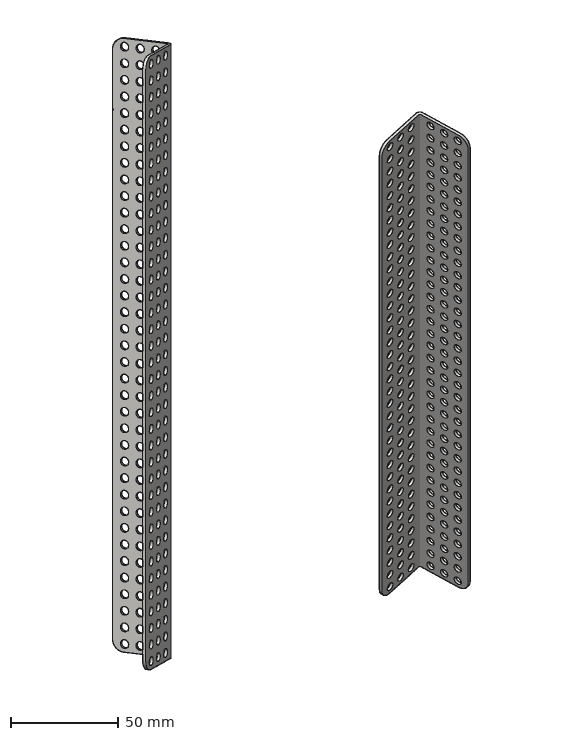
import cadquery as cq

length = 296.0
leg_width = 30.2
thickness = 1.6
inner_bend_radius = 0.5
outer_bend_radius = inner_bend_radius + thickness
corner_radius = 6.0

rows = 37
columns = 3
pitch = length / rows
hole_diameter = 4.0
edge_to_first_column = 6.2

half_width = leg_width / 2


def angle_blank():
    """Bent L-shaped sheet: one leg along X at the back, one along Y at the right."""
    inner_face = half_width - thickness
    blank = (
        cq.Workplane("XY", origin=(0, 0, -length / 2))
        .moveTo(-half_width, half_width)
        .lineTo(half_width, half_width)
        .lineTo(half_width, -half_width)
        .lineTo(inner_face, -half_width)
        .lineTo(inner_face, inner_face)
        .lineTo(-half_width, inner_face)
        .close()
        .extrude(length)
    )
    outer_corner = cq.NearestToPointSelector((half_width, half_width, 0))
    inner_corner = cq.NearestToPointSelector((inner_face, inner_face, 0))
    blank = blank.edges("|Z").edges(outer_corner).fillet(outer_bend_radius)
    return blank.edges("|Z").edges(inner_corner).fillet(inner_bend_radius)


def round_free_corners(body):
    """Round the top and bottom corners at the free edge of each leg."""
    body = body.faces("<X").edges("|Y").fillet(corner_radius)
    return body.faces("<Y").edges("|X").fillet(corner_radius)


def hole_cutters(plane):
    """Grid of cylinders reaching through one leg, normal to the given plane."""
    first_column = -half_width + edge_to_first_column
    centres = [
        (first_column + column * pitch, (row - (rows - 1) / 2) * pitch)
        for column in range(columns)
        for row in range(rows)
    ]
    return (
        cq.Workplane(plane)
        .pushPoints(centres)
        .circle(hole_diameter / 2)
        .extrude(leg_width, both=True)
    )


result = round_free_corners(angle_blank())
result = result.cut(hole_cutters("XZ"))
result = result.cut(hole_cutters("YZ"))